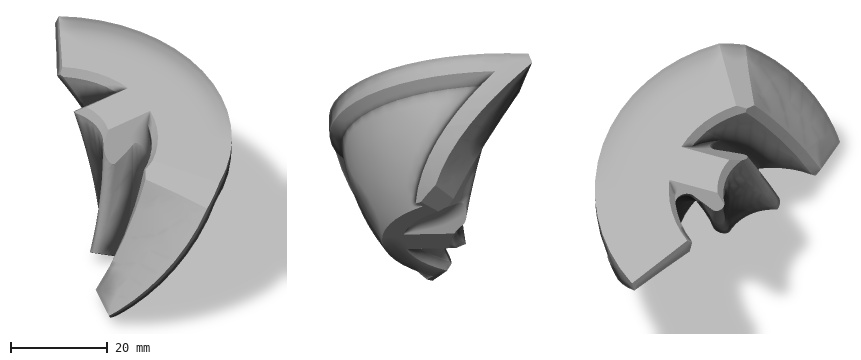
import cadquery as cq
import math


HEIGHT = 27.13
TWIST = 45.0
TOP_SPOKE_ANGLE = 87.6
SECTOR_HALF_SPAN = 59.4
TOP_RADIUS = 36.85
DOME_RADIUS = 46.2

BORE_RADIUS = 20.3
FOOT_RADIUS = 10.25
CORNER_BEVEL_RADIAL = 1.4
CORNER_BEVEL_ANGLE = 5.5

TOE_RADIUS = 1.55
TOE_ANGLE = 31.5
HOLLOW_RADIUS = 2.3
HOLLOW_ANGLE = 27.5

END_BEVEL_ANGLE = 59.3
END_BEVEL_INSET = 2.75
SHARP_END_SLOPE = 68.0
BLUNT_END_SLOPE = 25.0
SPOKE_TOP_HALF_WIDTH = 4.15
SPOKE_BEVEL_SLOPE = 45.0
RIM_BEVEL_RADIAL = 1.25
RIM_BEVEL_DEPTH = 1.6
BORE_CLEARANCE = 0.05

RECESS_DEPTH = 2.2
RECESS_RIM = 3.9
RECESS_HALF_SPAN = 50.7

BLANK_RADIUS = TOP_RADIUS + 2.0
TOOL_REACH = BLANK_RADIUS + 1.0
TOOL_SIZE = 120.0
TOP = HEIGHT / 2


def polar(radius, angle, centre=(0, 0)):
    a = math.radians(angle)
    return (centre[0] + radius * math.cos(a), centre[1] + radius * math.sin(a))


def mirrored(point):
    return (point[0], -point[1])


def rotated_z(shape, angle):
    return shape.rotate((0, 0, 0), (0, 0, 1), angle)


def flipped(shape):
    """The same shape after half a turn about the X axis."""
    return shape.rotate((0, 0, 0), (1, 0, 0), 180)


def twisted(section):
    """Extrude a section drawn about +X along the helix, over the full height."""
    solid = section.twistExtrude(HEIGHT, TWIST).translate((0, 0, -TOP))
    return rotated_z(solid, -TWIST / 2)


def flank_points():
    """Points from the foot arc, round the toe, along the flank to the bore."""
    toe = polar(FOOT_RADIUS + TOE_RADIUS, TOE_ANGLE)
    hollow = polar(BORE_RADIUS - HOLLOW_RADIUS, HOLLOW_ANGLE)
    dx = hollow[0] - toe[0]
    dy = hollow[1] - toe[1]
    tilt = math.acos((TOE_RADIUS + HOLLOW_RADIUS) / math.hypot(dx, dy))
    normal = math.degrees(math.atan2(dy, dx) + tilt)
    toe_start = TOE_ANGLE + 180
    hollow_start = normal - 180
    return (
        polar(TOE_RADIUS, toe_start, toe),
        polar(TOE_RADIUS, (toe_start + normal) / 2, toe),
        polar(TOE_RADIUS, normal, toe),
        polar(HOLLOW_RADIUS, hollow_start, hollow),
        polar(HOLLOW_RADIUS, (hollow_start + HOLLOW_ANGLE) / 2, hollow),
        polar(HOLLOW_RADIUS, HOLLOW_ANGLE, hollow),
    )


def twisted_blank():
    """Ring sector with spoke, before the outside is turned to the dome."""
    toe_low, toe_mid, toe_high, hollow_low, hollow_mid, bore_start = flank_points()
    bore_end_angle = SECTOR_HALF_SPAN - CORNER_BEVEL_ANGLE
    bore_mid = polar(BORE_RADIUS, (HOLLOW_ANGLE + bore_end_angle) / 2)
    bore_end = polar(BORE_RADIUS, bore_end_angle)
    end_inner = polar(BORE_RADIUS + CORNER_BEVEL_RADIAL, SECTOR_HALF_SPAN)
    end_outer = polar(BLANK_RADIUS, SECTOR_HALF_SPAN)
    section = (
        cq.Workplane("XY")
        .moveTo(*mirrored(toe_low))
        .threePointArc((FOOT_RADIUS, 0), toe_low)
        .threePointArc(toe_mid, toe_high)
        .lineTo(*hollow_low)
        .threePointArc(hollow_mid, bore_start)
        .threePointArc(bore_mid, bore_end)
        .lineTo(*end_inner)
        .lineTo(*end_outer)
        .threePointArc((BLANK_RADIUS, 0), mirrored(end_outer))
        .lineTo(*mirrored(end_inner))
        .lineTo(*mirrored(bore_end))
        .threePointArc(mirrored(bore_mid), mirrored(bore_start))
        .threePointArc(mirrored(hollow_mid), mirrored(hollow_low))
        .lineTo(*mirrored(toe_high))
        .threePointArc(mirrored(toe_mid), mirrored(toe_low))
        .close()
    )
    return twisted(section)


def dome_radius_at(depth):
    """Outer radius at a depth below the top face."""
    return TOP_RADIUS - DOME_RADIUS + math.sqrt(DOME_RADIUS**2 - depth**2)


def dome():
    """Full turned body under the arc of the outer profile."""
    return (
        cq.Workplane("XZ")
        .moveTo(0, -TOP)
        .lineTo(dome_radius_at(HEIGHT), -TOP)
        .threePointArc((dome_radius_at(HEIGHT / 2), 0), (TOP_RADIUS, TOP))
        .lineTo(0, TOP)
        .close()
        .revolve(360, (0, 0), (0, 1))
    )


def recess():
    """Sunken area of the outer surface, open below, with a sloping upper wall."""
    floor_top = RECESS_RIM + RECESS_DEPTH
    floor_mid = (floor_top + HEIGHT) / 2

    def floor_point(depth):
        return (dome_radius_at(depth) - RECESS_DEPTH, TOP - depth)

    ring = (
        cq.Workplane("XZ")
        .moveTo(*floor_point(floor_top))
        .threePointArc(floor_point(floor_mid), floor_point(HEIGHT))
        .lineTo(BLANK_RADIUS, -TOP)
        .lineTo(BLANK_RADIUS, TOP - RECESS_RIM)
        .lineTo(dome_radius_at(RECESS_RIM), TOP - RECESS_RIM)
        .close()
        .revolve(360, (0, 0), (0, 1))
    )
    corner = polar(TOOL_REACH, RECESS_HALF_SPAN)
    inner = polar(BORE_RADIUS, RECESS_HALF_SPAN)
    sector = (
        cq.Workplane("XY")
        .moveTo(*inner)
        .lineTo(*corner)
        .threePointArc((TOOL_REACH, 0), mirrored(corner))
        .lineTo(*mirrored(inner))
        .threePointArc((BORE_RADIUS, 0), inner)
        .close()
    )
    return ring.intersect(twisted(sector))


def bevel_half_space(side, offset, slope):
    """Material above a plane that meets the top face along local X.

    The edge lies at the given offset to one side (+1 or -1 in Y), and the
    plane falls away from it in that direction.
    """
    block = cq.Workplane("XY").box(TOOL_SIZE, TOOL_SIZE, TOOL_SIZE).translate((0, 0, TOOL_SIZE / 2))
    return block.rotate((0, 0, 0), (1, 0, 0), -side * slope).translate((0, side * offset, TOP))


def end_bevel(side, slope):
    """Tool for the bevel between one end face and the top face."""
    tool = bevel_half_space(side, -END_BEVEL_INSET, slope)
    half_side = cq.Workplane("XY").box(TOOL_SIZE, TOOL_SIZE, TOOL_SIZE).translate((TOOL_SIZE / 2, 0, 0))
    return rotated_z(tool.intersect(half_side), side * END_BEVEL_ANGLE)


def rim_bevel(radius):
    """Cone that opens the given inner radius out to its bevel at the top face."""
    slope = RIM_BEVEL_RADIAL / RIM_BEVEL_DEPTH
    rim = radius + RIM_BEVEL_RADIAL
    return (
        cq.Workplane("XZ")
        .moveTo(0, TOP - rim / slope)
        .lineTo(rim, TOP)
        .lineTo(0, TOP)
        .close()
        .revolve(360, (0, 0), (0, 1))
    )


def bore_space():
    """Space inside the ring, including the rim bevel at the top face."""
    bore = cq.Workplane("XY").circle(BORE_RADIUS - BORE_CLEARANCE).extrude(HEIGHT).translate((0, 0, -TOP))
    return bore.union(rim_bevel(BORE_RADIUS))


def top_bevels():
    """Tools for every bevel along the top face, in their place at the top."""
    tools = [
        end_bevel(1, SHARP_END_SLOPE),
        end_bevel(-1, BLUNT_END_SLOPE),
        rim_bevel(FOOT_RADIUS),
    ]
    for side in (1, -1):
        flank = bevel_half_space(side, SPOKE_TOP_HALF_WIDTH, SPOKE_BEVEL_SLOPE)
        tools.append(flank.intersect(bore_space()))
    return [rotated_z(tool, TWIST / 2) for tool in tools]


def jaw():
    """Finished jaw about +X at mid height."""
    body = twisted_blank().intersect(dome()).cut(recess())
    for tool in top_bevels():
        body = body.cut(tool).cut(flipped(tool))
    return body


result = rotated_z(jaw(), TOP_SPOKE_ANGLE - TWIST / 2)